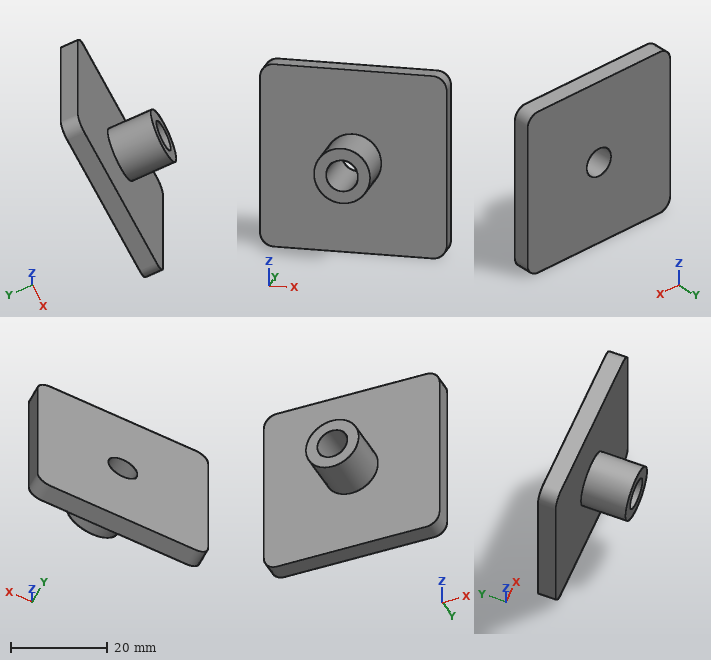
import cadquery as cq

plate_side = 40.0
plate_thickness = 4.0
corner_radius = 3.0

boss_diameter = 12.0
boss_length = 10.0
bore_diameter = 6.8

total_depth = plate_thickness + boss_length


def make_plate():
    """Plate with rounded corners, its boss-side face at Y = 0."""
    return (
        cq.Workplane("XZ")
        .rect(plate_side, plate_side)
        .extrude(-plate_thickness)
        .edges("|Y")
        .fillet(corner_radius)
    )


def make_boss():
    """Round boss reaching from the plate face toward -Y."""
    return cq.Workplane("XZ").circle(boss_diameter / 2).extrude(boss_length)


def make_bore():
    """Through bore along the whole depth of the plate and boss."""
    return (
        cq.Workplane("XZ", origin=(0, plate_thickness, 0))
        .circle(bore_diameter / 2)
        .extrude(total_depth)
    )


result = make_plate().union(make_boss()).cut(make_bore())